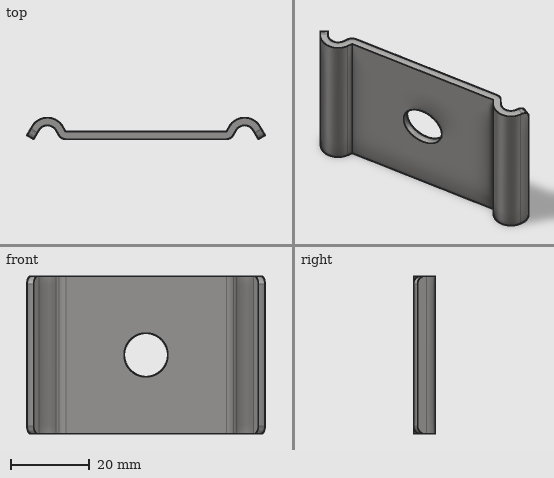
import cadquery as cq
import math

length = 60.4
depth = 5.5
height = 40.0
thickness = 2.0
hole_diameter = 11.0
corner_radius = 2.0
flank_angle = math.radians(60)

half_thickness = thickness / 2
outer_radius = depth - half_thickness
inner_radius = outer_radius - thickness
sin_flank = math.sin(flank_angle)
cos_flank = math.cos(flank_angle)

bead_center_x = length / 2 - outer_radius / sin_flank

bend_x = bead_center_x - (outer_radius - half_thickness * cos_flank) / sin_flank


def bead_point(radius, side):
    """Tangent point of a bead arc: side is -1 toward the plate, 1 toward the lip."""
    return (bead_center_x + side * radius * sin_flank, radius * cos_flank)


def bend_point(angle):
    """Point on the outer bend arc, with the angle measured from straight down."""
    return (
        bend_x + thickness * math.sin(angle),
        half_thickness - thickness * math.cos(angle),
    )


def make_half_strip():
    """Extruded +X half of the bent strip."""
    lip_outer = (length / 2, 0)
    lip_inner = (length / 2 - thickness * sin_flank, -thickness * cos_flank)
    return (
        cq.Workplane("XY")
        .moveTo(0, half_thickness)
        .lineTo(bend_x, half_thickness)
        .lineTo(*bead_point(outer_radius, -1))
        .threePointArc((bead_center_x, outer_radius), bead_point(outer_radius, 1))
        .lineTo(*lip_outer)
        .lineTo(*lip_inner)
        .lineTo(*bead_point(inner_radius, 1))
        .threePointArc((bead_center_x, inner_radius), bead_point(inner_radius, -1))
        .lineTo(*bend_point(flank_angle))
        .threePointArc(bend_point(flank_angle / 2), bend_point(0))
        .lineTo(0, -half_thickness)
        .close()
        .extrude(height / 2, both=True)
    )


def round_lip_corners(strip):
    """Round the top and bottom corners of the lip, across its thickness."""
    across_lip = cq.Vector(sin_flank, cos_flank, 0)
    return strip.edges(cq.selectors.ParallelDirSelector(across_lip)).fillet(corner_radius)


half_strip = round_lip_corners(make_half_strip())
strip = half_strip.union(half_strip.mirror("YZ")).clean()

hole = cq.Workplane("XZ", origin=(0, half_thickness, 0)).circle(hole_diameter / 2).extrude(thickness)
result = strip.cut(hole)